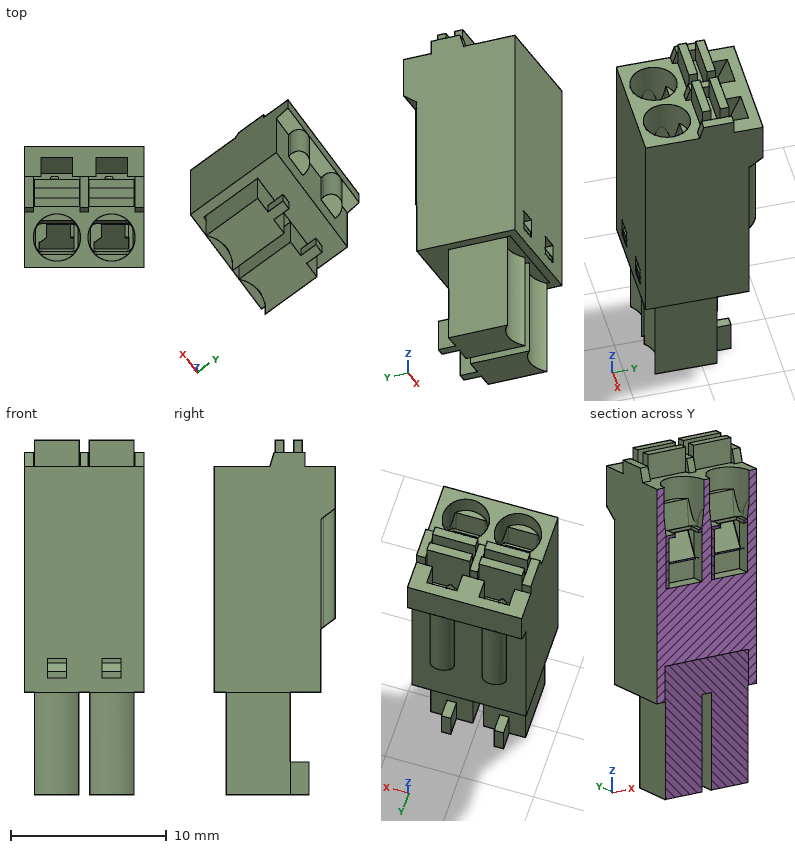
import cadquery as cq


width = 7.7
depth = 7.8
body_depth = 6.86
total_height = 22.8
body_bottom = 6.6
body_top = 21.11

pole_pitch = 3.5
pole_centers = [-pole_pitch / 2, pole_pitch / 2]

overhang_bottom = 18.42
overhang_rise = 0.7
rib_bottom = 11.35
coding_radius = 0.78

wall_top = 22.02
wall_rear = 5.85
wall_front_top = 3.85
wall_front_base = 3.58

pocket_width = 2.99
pocket_floor = 18.7
slot_width = 2.03
slot_rear = 7.1
slot_floor_rear = 6.06

button_width = 2.9
button_rear = 5.68
button_front = 3.92
groove_rear = 5.1
groove_front = 4.5
groove_floor = body_top
nub_radius = 0.27
nub_shift = -0.15
nub_height = 0.39

entry_y = 1.94
entry_diameter = 3.03
entry_depth = 1.48
funnel_depth = 1.8
funnel_slant = 0.2
mouth_corner = 1.2 / 2
shaft_width = 2.74
shaft_depth = 1.78
shaft_bottom = 14.25
shaft_top = body_top - entry_depth - funnel_depth

contact_thickness = 0.23
opening_rear = 0.85
opening_front = -0.73
opening_left = -0.65
opening_left_wide = -1.15
opening_right = 1.1
opening_step_rear = 0.0
opening_step_front = -0.35
spring_thickness = 0.07
spring_width = 2.23
spring_neck_side = 0.87

sleeve_width = 2.85
sleeve_pitch = 3.55
sleeve_front = 0.78
sleeve_rear = 4.9
sleeve_sag = 0.57
insert_front = 0.6
insert_top = 9.0
key_width = 0.64
key_rear = 6.1
key_height = 2.12

latch_width = 1.23
window_bottom = 7.5
window_top = 8.78
latch_edge = 7.93
latch_top = 8.48
latch_recess = 0.07


def box(x_range, y_range, z_range):
    """Box between two corners given as ranges along X, Y and Z."""
    (x0, x1), (y0, y1), (z0, z1) = x_range, y_range, z_range
    return cq.Workplane("XY").box(x1 - x0, y1 - y0, z1 - z0, centered=False).translate((x0, y0, z0))


def span(center, size):
    """Range of a given size around a center."""
    return (center - size / 2, center + size / 2)


def side_profile(points, center, size):
    """Prism along X from (Y, Z) points."""
    return cq.Workplane("YZ").polyline(points).close().extrude(size).translate((center - size / 2, 0, 0))


def housing_shell():
    """Outside of the housing with the walls beside the buttons."""
    body = side_profile(
        [
            (0, body_bottom),
            (body_depth, body_bottom),
            (body_depth, overhang_bottom - overhang_rise),
            (depth, overhang_bottom),
            (depth, body_top),
            (0, body_top),
        ],
        0,
        width,
    )
    walls = side_profile(
        [
            (wall_front_base, body_top),
            (wall_rear, body_top),
            (wall_rear, wall_top),
            (wall_front_top, wall_top),
        ],
        0,
        width,
    )
    return body.union(walls)


def coding_rib(x):
    """Half-round rib on the rear face, sloped at the lower end."""
    round_y = depth - coding_radius
    rib = (
        cq.Workplane("XY", origin=(x, 0, 0))
        .moveTo(-coding_radius, body_depth)
        .lineTo(-coding_radius, round_y)
        .threePointArc((0, depth), (coding_radius, round_y))
        .lineTo(coding_radius, body_depth)
        .close()
        .extrude(body_top)
    )
    envelope = side_profile(
        [
            (body_depth, rib_bottom - overhang_rise),
            (depth, rib_bottom),
            (depth, overhang_bottom),
            (body_depth, overhang_bottom - overhang_rise),
        ],
        x,
        2 * coding_radius,
    )
    return rib.intersect(envelope)


def button_pocket(x):
    """Pocket for a button, with a tapering tool slot behind it."""
    pocket = box(span(x, pocket_width), (button_front, wall_rear), (pocket_floor, wall_top))
    gap_in_wall = box(span(x, pocket_width), (wall_front_base, button_front), (body_top, wall_top))
    slot = side_profile(
        [
            (button_rear, pocket_floor),
            (slot_floor_rear, pocket_floor),
            (slot_rear, body_top),
            (button_rear, body_top),
        ],
        x,
        slot_width,
    )
    return pocket.union(gap_in_wall).union(slot)


def wire_entry(x):
    """Round wire hole with a rectangular funnel that leads into the contact shaft."""
    ledge = body_top - entry_depth
    hole = (
        cq.Workplane("XY", origin=(x, entry_y, ledge))
        .circle(entry_diameter / 2)
        .extrude(entry_depth)
    )
    mouth_width = shaft_width + 2 * funnel_slant
    mouth_depth = shaft_depth + 2 * funnel_slant
    mouth = cq.Sketch().rect(mouth_width, mouth_depth).vertices().fillet(mouth_corner)
    throat = cq.Sketch().rect(shaft_width, shaft_depth).vertices().fillet(mouth_corner - funnel_slant)
    funnel = (
        cq.Workplane("XY", origin=(x, entry_y, shaft_top))
        .placeSketch(throat, mouth.moved(cq.Location(cq.Vector(0, 0, funnel_depth))))
        .loft()
    )
    guide = (
        cq.Workplane("XY", origin=(x, entry_y, shaft_top))
        .circle(entry_diameter / 2)
        .extrude(funnel_depth)
    )
    shaft = box(span(x, shaft_width), span(entry_y, shaft_depth), (shaft_bottom, shaft_top))
    return hole.union(funnel.intersect(guide)).union(shaft)


def latch_window(x):
    """Opening in the front wall for a latch of the carrier."""
    return box(span(x, latch_width), (0, insert_front), (window_bottom, window_top))


def carrier_insert():
    """Block of the carrier that sits inside the housing."""
    insert_width = sleeve_pitch + sleeve_width
    return box(span(0, insert_width), (insert_front, sleeve_rear), (body_bottom, insert_top))


def build_housing():
    housing = housing_shell()
    for x in pole_centers:
        housing = housing.union(coding_rib(x))
    for x in pole_centers:
        housing = housing.cut(button_pocket(x)).cut(wire_entry(x)).cut(latch_window(x))
    return housing.cut(carrier_insert())


def build_button(x):
    """Push button with a groove across its head and a nub on its rear face."""
    button = box(span(x, button_width), (button_front, button_rear), (pocket_floor, total_height))
    groove = box(span(x, button_width), (groove_front, groove_rear), (groove_floor, total_height))
    nub_base = cq.Vector(x + nub_shift, button_rear, pocket_floor)
    nub = cq.Workplane(cq.Solid.makeCone(nub_radius, 0, nub_height, nub_base))
    nub = nub.intersect(box(span(x, button_width), (button_front, wall_rear), (pocket_floor, body_top)))
    return button.cut(groove).union(nub)


def build_contact(x):
    """Contact plate with a stepped wire opening and a leg down one side of the shaft."""
    plate_bottom = shaft_top - contact_thickness
    plate = box(span(x, shaft_width), span(entry_y, shaft_depth), (plate_bottom, shaft_top))
    opening = (
        cq.Workplane("XY", origin=(x, entry_y, plate_bottom))
        .moveTo(opening_left, opening_rear)
        .lineTo(opening_left, opening_step_rear)
        .lineTo(opening_left_wide, opening_step_front)
        .lineTo(opening_left_wide, opening_front)
        .lineTo(opening_right, opening_front)
        .lineTo(opening_right, opening_rear)
        .close()
        .extrude(contact_thickness)
    )
    leg_left = x - shaft_width / 2
    leg = box((leg_left, leg_left + contact_thickness), span(entry_y, shaft_depth), (shaft_bottom, shaft_top))
    return plate.cut(opening).union(leg)


def build_spring(x):
    """Sloped leaf spring behind the wire opening, notched beside its upper end."""
    rear = entry_y + shaft_depth / 2
    front = entry_y - shaft_depth / 2
    spring_top = shaft_top - contact_thickness
    leaf = side_profile(
        [
            (rear, spring_top),
            (rear - spring_thickness, spring_top),
            (front, shaft_bottom),
            (front + spring_thickness, shaft_bottom),
        ],
        x,
        spring_width,
    )
    neck_bottom = (spring_top + shaft_bottom) / 2
    side = x + spring_width / 2
    right_notch = box((x + spring_neck_side, side), (front, rear), (neck_bottom, spring_top))
    return leaf.cut(right_notch)


def sleeve(x):
    """Plug sleeve with a hollow front."""
    half = sleeve_width / 2
    return (
        cq.Workplane("XY", origin=(x, 0, 0))
        .moveTo(-half, sleeve_front)
        .threePointArc((0, sleeve_front + sleeve_sag), (half, sleeve_front))
        .lineTo(half, sleeve_rear)
        .lineTo(-half, sleeve_rear)
        .close()
        .extrude(body_bottom)
    )


def latch(x):
    """Wedge that catches in a window of the housing."""
    return side_profile(
        [
            (insert_front, window_bottom),
            (latch_recess, window_bottom),
            (latch_recess, latch_edge),
            (insert_front, latch_top),
        ],
        x,
        latch_width,
    )


def build_carrier():
    carrier = carrier_insert()
    for side in (-1, 1):
        x = side * sleeve_pitch / 2
        carrier = carrier.union(sleeve(x))
        carrier = carrier.union(box(span(x, key_width), (sleeve_rear, key_rear), (0, key_height)))
    for x in pole_centers:
        carrier = carrier.union(latch(x))
    return carrier


housing = build_housing()
carrier = build_carrier()
buttons = [build_button(x) for x in pole_centers]
contacts = [build_contact(x) for x in pole_centers]
springs = [build_spring(x) for x in pole_centers]

bodies = [housing, carrier, *buttons, *contacts, *springs]
result = cq.Compound.makeCompound([body.val() for body in bodies])